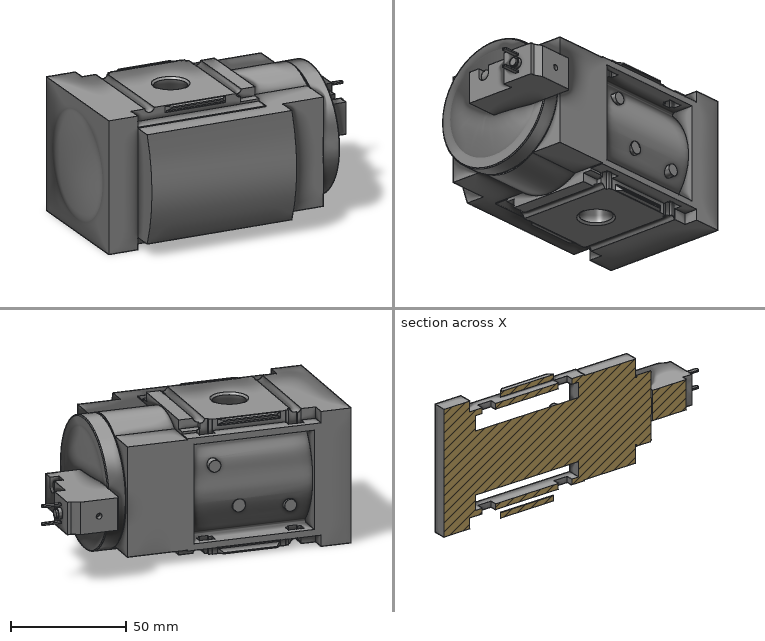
import cadquery as cq
import math


block_half = 31.0
front_end = 14.0
pads_end = 76.0
plate_end = 84.0
body_end = 103.8
rear_half_height = 25.3
middle_half_height = 25.8
saddle_half_width = 15.0
saddle_top = 30.4

dome_radius = 25.0
front_dome_height = 4.0
cap_diameter = 60.0
cap_neck_diameter = 59.0
cap_neck_length = 0.5
cap_end = 112.3
cap_chamfer = 0.5
cap_dome_height = 3.1

plate_edge_x = 40.2
plate_crown_x = 45.0

pad_half_width = 24.3
port_y = 45.0
port_diameter = 14.9
port_mouth_diameter = 16.8
port_depth = 17.9
groove_diameter = 4.8
groove_lift = 0.5
rear_groove_y = 67.0
front_groove_y = 23.0
notch_half_gap = 20.1
notch_floor = 26.8

ledge_reach = 2.2
ledge_half_length = 14.6
ledge_slant = 2.2
ledge_foot_z = 27.8
ledge_foot = 0.5
ledge_foot_top = 28.6
ledge_lip_z = 30.1
ledge_top = 30.7

slot_outer_x = -27.7
slot_step_x = -23.8
slot_inner_x = -22.3
slot_centers = (65.5, 24.3)
slot_length = 7.1
slot_step_length = 4.2
slot_bottom_z = 22.3

window_front = 17.1
window_rear = 72.8
window_half_height = 22.8
drum_radius = 29.0
drum_fillet = 1.0
pin_root_x = -14.9
drum_pins = (
    (62.5, 11.0, 5.5, -29.2),
    (51.0, -8.5, 6.0, -28.6),
    (27.4, -11.0, 5.5, -29.2),
)

connector_left = -44.5
connector_right = -2.7
connector_front = 112.7
connector_low_end = 131.2
connector_high_end = 136.1
connector_step_x = -27.0
connector_half_height = 7.5
bevel_x = 1.8
bevel_start = 130.6
bevel_end = 134.3
connector_edge_chamfer = 0.7
pilot_diameter = 2.5
pilot_depth = 3.0
pilot_y = 122.0

terminal_x = -34.5
terminal_width = 2.0
terminal_thickness = 0.7
terminal_spacing = 8.2
terminal_chamfer = 0.5
overall_length = 148.9
terminal_end = overall_length - front_dome_height
stud_diameters = (5.0, 3.9)
stud_lengths = (1.8, 0.9)

recess_x = -10.9
recess_z = 3.9
recess_width = 5.5
recess_depth = 4.2
screw_diameter = 5.0
screw_height = 2.8


def box(x0, x1, y0, y1, z0, z1):
    """Box between two corners."""
    solid = cq.Workplane("XY").box(x1 - x0, y1 - y0, z1 - z0, centered=False)
    return solid.translate((x0, y0, z0))


def cylinder_x(diameter, x0, x1, y, z):
    """Cylinder along X between x0 and x1."""
    plane = cq.Workplane("YZ", origin=(x0, y, z))
    return plane.circle(diameter / 2).extrude(x1 - x0)


def cylinder_y(diameter, y0, y1, x=0.0, z=0.0):
    """Cylinder along Y between y0 and y1."""
    plane = cq.Workplane("XZ", origin=(x, y0, z))
    return plane.circle(diameter / 2).extrude(y0 - y1)


def dome(base_y, rise):
    """Spherical cap revolved about the body axis; a negative rise points to -Y."""
    sphere_radius = (dome_radius ** 2 + rise ** 2) / (2 * abs(rise))
    mid_x = dome_radius / 2
    mid_drop = sphere_radius - math.sqrt(sphere_radius ** 2 - mid_x ** 2)
    mid_y = base_y + rise - math.copysign(mid_drop, rise)
    return (
        cq.Workplane("XY")
        .moveTo(0, base_y)
        .lineTo(dome_radius, base_y)
        .threePointArc((mid_x, mid_y), (0, base_y + rise))
        .close()
        .revolve(360, (0, 0, 0), (0, 1, 0))
    )


def on_top_and_bottom(solid):
    """The solid together with its mirror image below Z = 0."""
    return solid.union(solid.mirror("XY"))


def make_body():
    """Front block, stepped body, rounded bulges above and below, and the front dome."""
    block = box(-block_half, block_half, 0, front_end, -block_half, block_half)
    middle = box(
        -block_half, block_half, front_end, pads_end, -middle_half_height, middle_half_height
    )
    rear = box(-block_half, block_half, pads_end, body_end, -rear_half_height, rear_half_height)
    saddles = (
        cq.Workplane("XZ", origin=(0, pads_end, 0))
        .moveTo(-saddle_half_width, -rear_half_height)
        .lineTo(-saddle_half_width, rear_half_height)
        .threePointArc((0, saddle_top), (saddle_half_width, rear_half_height))
        .lineTo(saddle_half_width, -rear_half_height)
        .threePointArc((0, -saddle_top), (-saddle_half_width, -rear_half_height))
        .close()
        .extrude(pads_end - body_end)
    )
    return block.union(middle).union(rear).union(saddles).union(dome(0, -front_dome_height))


def make_side_plate():
    """Plate with a curved outer face on the +X side."""
    return (
        cq.Workplane("XZ", origin=(0, front_end, 0))
        .moveTo(0, -rear_half_height)
        .lineTo(plate_edge_x, -rear_half_height)
        .threePointArc((plate_crown_x, 0), (plate_edge_x, rear_half_height))
        .lineTo(0, rear_half_height)
        .close()
        .extrude(front_end - plate_end)
    )


def make_rear_cap():
    """Round domed cap behind the body."""
    neck_end = body_end + cap_neck_length
    neck = cylinder_y(cap_neck_diameter, body_end, neck_end)
    disc = cylinder_y(cap_diameter, neck_end, cap_end).faces(">Y").chamfer(cap_chamfer)
    return neck.union(disc).union(dome(cap_end, cap_dome_height))


def make_ledge():
    """Clip ledge on the +X side of the pad, undercut and with slanted ends."""
    profile = (
        cq.Workplane("XZ", origin=(pad_half_width, port_y + ledge_half_length, 0))
        .moveTo(0, ledge_foot_z)
        .lineTo(ledge_foot, ledge_foot_z)
        .lineTo(ledge_foot, ledge_foot_top)
        .lineTo(ledge_reach, ledge_lip_z)
        .lineTo(ledge_reach, ledge_top)
        .lineTo(0, ledge_top)
        .close()
        .extrude(2 * ledge_half_length)
    )
    tip_half_length = ledge_half_length - ledge_slant
    plan = (
        cq.Workplane("XY", origin=(pad_half_width, port_y, 0))
        .moveTo(0, -ledge_half_length)
        .lineTo(ledge_reach, -tip_half_length)
        .lineTo(ledge_reach, tip_half_length)
        .lineTo(0, ledge_half_length)
        .close()
        .extrude(block_half)
    )
    return profile.intersect(plan)


def make_pad():
    """Upper port pad with rear corner notches, two cross grooves and side ledges."""
    pad = box(-pad_half_width, pad_half_width, front_end, pads_end, 0, block_half)
    for side in (-1, 1):
        inner, outer = sorted((side * notch_half_gap, side * pad_half_width))
        pad = pad.cut(box(inner, outer, rear_groove_y, pads_end, notch_floor, block_half))
    for groove_y in (rear_groove_y, front_groove_y):
        groove_z = block_half + groove_lift
        pad = pad.cut(cylinder_x(groove_diameter, -pad_half_width, pad_half_width, groove_y, groove_z))
    ledge = make_ledge()
    return pad.union(ledge).union(ledge.mirror("YZ"))


def make_port():
    """Cutter for a blind port with a 45 degree countersunk mouth."""
    mouth_depth = (port_mouth_diameter - port_diameter) / 2
    pad_face = cq.Workplane("XY", origin=(0, port_y, block_half))
    bore = pad_face.circle(port_diameter / 2).extrude(-port_depth)
    mouth = pad_face.circle(port_mouth_diameter / 2).extrude(-mouth_depth, taper=45)
    return bore.union(mouth)


def make_slots():
    """Cutters for the stepped slots, open from the pad surface into the window."""
    slots = cq.Workplane("XY")
    steps = (
        (slot_outer_x, slot_step_x, slot_length),
        (slot_step_x, slot_inner_x, slot_step_length),
    )
    for slot_y in slot_centers:
        for x0, x1, length in steps:
            slot_front = slot_y - length / 2
            slots = slots.union(box(x0, x1, slot_front, slot_front + length, slot_bottom_z, block_half))
    return slots


def make_window():
    """Cutter for the window, leaving the drum standing."""
    opening = box(-block_half, 0, window_front, window_rear, -window_half_height, window_half_height)
    drum = cylinder_y(2 * drum_radius, window_front, window_rear)
    return opening.cut(drum).edges("|Y").edges(">X").fillet(drum_fillet)


def make_drum_pins():
    """Round pins standing on the drum, with flat ends facing -X."""
    pins = cq.Workplane("XY")
    for y, z, diameter, end_x in drum_pins:
        pins = pins.union(cylinder_x(diameter, end_x, pin_root_x, y, z))
    return pins


def make_connector():
    """Connector housing with its screw, stud and two terminal blades."""
    housing = (
        cq.Workplane("XY", origin=(0, 0, -connector_half_height))
        .moveTo(connector_left, connector_front)
        .lineTo(connector_right, connector_front)
        .lineTo(connector_right, connector_low_end)
        .lineTo(connector_step_x, connector_low_end)
        .lineTo(connector_step_x, connector_high_end)
        .lineTo(connector_left + bevel_x, connector_high_end)
        .lineTo(connector_left + bevel_x, bevel_end)
        .lineTo(connector_left, bevel_start)
        .close()
        .extrude(2 * connector_half_height)
    )
    housing = housing.edges("|Z and <Y").edges("<X").chamfer(connector_edge_chamfer)
    pilot_end = connector_left + pilot_depth
    housing = housing.cut(cylinder_x(pilot_diameter, connector_left, pilot_end, pilot_y, 0))

    recess_front = connector_low_end - recess_depth
    recess = cylinder_y(recess_width, recess_front, connector_low_end, recess_x, recess_z)
    recess_left = recess_x - recess_width / 2
    recess_right = recess_x + recess_width / 2
    recess_opening = box(
        recess_left, recess_right, recess_front, connector_low_end, recess_z, connector_half_height
    )
    screw_end = recess_front + screw_height
    screw_head = cylinder_y(screw_diameter, recess_front, screw_end, recess_x, recess_z)
    housing = housing.cut(recess.union(recess_opening)).union(screw_head)

    stud_y = connector_high_end
    for diameter, length in zip(stud_diameters, stud_lengths):
        housing = housing.union(cylinder_y(diameter, stud_y, stud_y + length, terminal_x))
        stud_y += length

    half_width = terminal_width / 2
    half_thickness = terminal_thickness / 2
    for z in (-terminal_spacing / 2, terminal_spacing / 2):
        blade = box(
            terminal_x - half_width, terminal_x + half_width,
            connector_high_end, terminal_end,
            z - half_thickness, z + half_thickness,
        )
        housing = housing.union(blade.edges("|Z and >Y").chamfer(terminal_chamfer))
    return housing


result = make_body().union(make_side_plate())
result = result.union(on_top_and_bottom(make_pad()))
result = result.cut(on_top_and_bottom(make_port()))
result = result.cut(make_window())
result = result.cut(on_top_and_bottom(make_slots()))
result = result.union(make_drum_pins())
result = result.union(make_rear_cap())
result = result.union(make_connector())